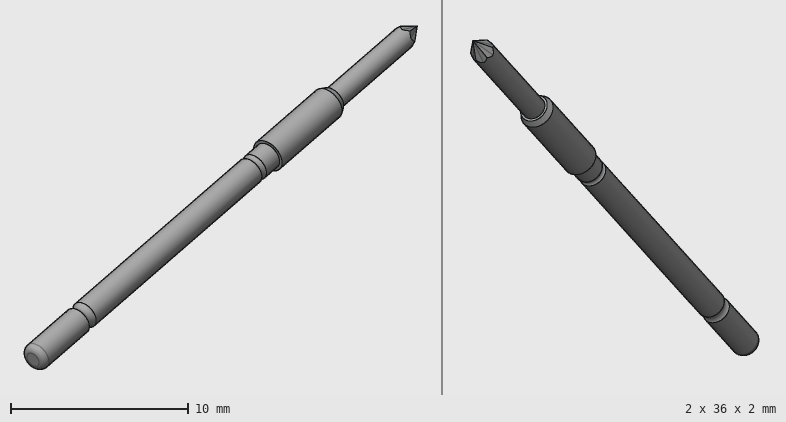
import cadquery as cq
import math

length = 36.0

plunger_radius = 0.7
collar_radius = 1.0
tube_radius = 0.83

collar_front = 8.0
collar_back = 14.0
front_groove_from_tip = 15.45
rear_groove_from_tip = 31.5

collar_chamfer_length = 0.4
collar_chamfer_depth = 0.18
tail_round = 0.4

front_groove_width = 0.45
front_groove_depth = 0.09
rear_groove_width = 0.65
rear_groove_depth = 0.1

ridge_count = 6
ridge_half_angle = 31.0
valley_ratio = 0.82

collar_front_y = length - collar_front
collar_back_y = length - collar_back


def make_turned_body():
    """Revolve the tube, the collar and the plunger; the plunger runs on to the tip plane."""
    chamfer_end_y = collar_front_y - collar_chamfer_length
    collar_front_radius = collar_radius - collar_chamfer_depth
    round_centre_x = -(tube_radius - tail_round)
    round_mid = (
        round_centre_x - tail_round * math.sin(math.pi / 4),
        tail_round - tail_round * math.cos(math.pi / 4),
    )
    return (
        cq.Workplane("XY")
        .moveTo(0, 0)
        .lineTo(round_centre_x, 0)
        .threePointArc(round_mid, (-tube_radius, tail_round))
        .lineTo(-tube_radius, collar_back_y)
        .lineTo(-collar_radius, collar_back_y)
        .lineTo(-collar_radius, chamfer_end_y)
        .lineTo(-collar_front_radius, collar_front_y)
        .lineTo(-plunger_radius, collar_front_y)
        .lineTo(-plunger_radius, length)
        .lineTo(0, length)
        .close()
        .revolve(360, (0, 0), (0, 1))
    )


def make_groove(centre_y, width, depth):
    """Ring with an arc-shaped inner side, to be cut from the tube."""
    outer_x = -(tube_radius + depth)
    return (
        cq.Workplane("XY")
        .moveTo(outer_x, centre_y - width / 2)
        .lineTo(-tube_radius, centre_y - width / 2)
        .threePointArc((depth - tube_radius, centre_y), (-tube_radius, centre_y + width / 2))
        .lineTo(outer_x, centre_y + width / 2)
        .close()
        .revolve(360, (0, 0), (0, 1))
    )


def make_star_spike():
    """Pyramid on a star outline, from the tip back to the collar."""
    ridge_radius = collar_front * math.tan(math.radians(ridge_half_angle))
    base = []
    for i in range(2 * ridge_count):
        angle = math.pi * i / ridge_count
        radius = ridge_radius if i % 2 == 0 else ridge_radius * valley_ratio
        base.append(cq.Vector(radius * math.cos(angle), collar_front_y, radius * math.sin(angle)))
    apex = cq.Vector(0, length, 0)
    faces = [cq.Face.makeFromWires(cq.Wire.makePolygon(base, close=True))]
    for start, end in zip(base, base[1:] + base[:1]):
        faces.append(cq.Face.makeFromWires(cq.Wire.makePolygon([start, end, apex], close=True)))
    return cq.Workplane(obj=cq.Solid.makeSolid(cq.Shell.makeShell(faces)))


def sharpen(body):
    """Keep only the part of the plunger that lies inside the star-shaped spike."""
    plunger = cq.Workplane("XZ", origin=(0, length, 0)).circle(plunger_radius).extrude(collar_front)
    return body.cut(plunger.cut(make_star_spike()))


result = sharpen(make_turned_body())
for from_tip, width, depth in (
    (front_groove_from_tip, front_groove_width, front_groove_depth),
    (rear_groove_from_tip, rear_groove_width, rear_groove_depth),
):
    result = result.cut(make_groove(length - from_tip, width, depth))